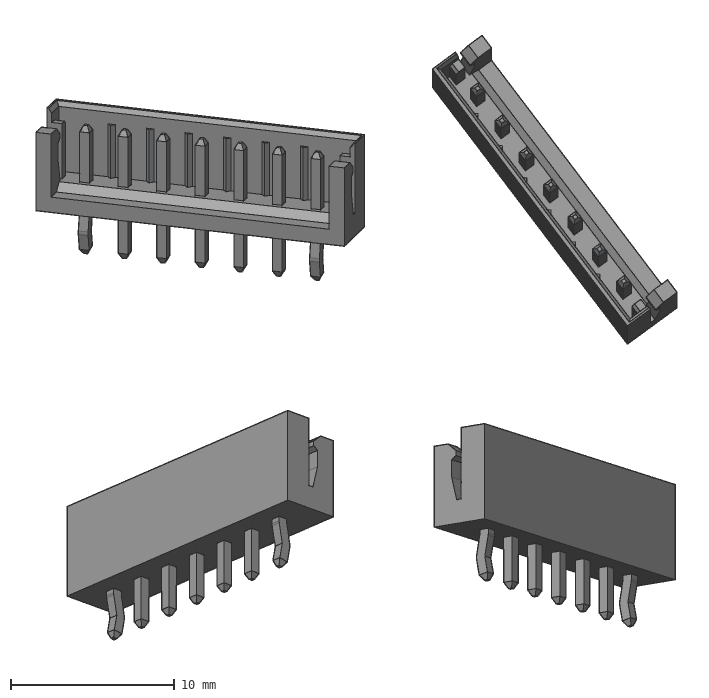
import cadquery as cq
import math


length = 20.0
depth = 3.8
height = 6.0

floor_z = 1.5
front_wall_z = 1.0
slope_start_depth = 2.28
slope_end_depth = 2.8

back_wall = 0.45
side_wall = 0.32
side_wall_depth = 1.75
rim_chamfer_width = 0.2
rim_chamfer_height = 0.3

post_width = 0.98
post_top_z = 5.1
post_depth = 2.48
post_foot_depth = 2.1
post_straight_z = 2.95
hook_depth = 2.15
hook_top_z = 4.6
hook_bottom_z = 4.28
hook_under_z = 4.05
post_top_depth = 2.75

corner_rib_depth = 0.68
corner_rib_chamfer = 0.2

wall_rib_width = 0.48
wall_rib_height = 0.25
wall_rib_top_z = 4.95

pin_count = 7
pitch = 2.5
pin_width = 0.65
pin_depth = 1.6
pin_shoulder_z = 4.75
pin_top_z = 5.15
pin_tip_width = 0.25
leg_shoulder_z = -2.85
leg_tip_z = -3.22

kink_start_z = -0.3
kink_angle = math.radians(11.2)
kink_upper_length = 1.32
kink_lower_length = 1.05
kink_tip_length = 0.38

pin_xs = [(i - (pin_count - 1) / 2) * pitch for i in range(pin_count)]


def box(x0, x1, y0, y1, z0, z1):
    """Box between two opposite corners."""
    return cq.Workplane("XY").box(x1 - x0, y1 - y0, z1 - z0, centered=False).translate((x0, y0, z0))


def extrude_along_x(profile, x0, x1):
    """Extrude a closed YZ profile from x0 to x1."""
    return profile.extrude(x1 - x0).translate((x0, 0, 0))


def mirrored_pair(solid):
    """The solid together with its mirror image at the other end of the housing."""
    return solid.union(solid.mirror("YZ"))



def make_floor():
    """Floor that slopes down to the low front wall."""
    profile = cq.Workplane("YZ").polyline([
        (0, 0),
        (0, floor_z),
        (-slope_start_depth, floor_z),
        (-slope_end_depth, front_wall_z),
        (-depth, front_wall_z),
        (-depth, 0),
    ]).close()
    return extrude_along_x(profile, -length / 2, length / 2)


def make_walls():
    """Back wall and two side walls, with the inner rim chamfered."""
    walls = box(-length / 2, length / 2, -side_wall_depth, 0, 0, height)
    inner_length = length - 2 * side_wall
    inner_x = inner_length / 2
    cavity = box(-inner_x, inner_x, -depth, -back_wall, 0, height)

    flare_centre = -(depth + back_wall) / 2
    flare_depth = depth - back_wall
    flare = (
        cq.Workplane("XY", origin=(0, flare_centre, height - rim_chamfer_height))
        .rect(inner_length, flare_depth)
        .workplane(offset=rim_chamfer_height)
        .rect(inner_length + 2 * rim_chamfer_width, flare_depth + 2 * rim_chamfer_width)
        .loft(ruled=True)
    )
    return walls.cut(cavity).cut(flare)


def make_latch_posts():
    """Front corner posts with a hook that leans over the side slot."""
    profile = cq.Workplane("YZ").polyline([
        (-depth, 0),
        (-post_foot_depth, 0),
        (-post_foot_depth, floor_z),
        (-post_depth, post_straight_z),
        (-post_depth, hook_under_z),
        (-hook_depth, hook_bottom_z),
        (-hook_depth, hook_top_z),
        (-post_top_depth, post_top_z),
        (-depth, post_top_z),
    ]).close()
    return mirrored_pair(extrude_along_x(profile, -length / 2, -length / 2 + post_width))


def make_corner_ribs():
    """Ribs in line with the posts, chamfered at the top of their back side."""
    back_y = corner_rib_depth - side_wall_depth
    profile = cq.Workplane("YZ").polyline([
        (-side_wall_depth, 0),
        (back_y, 0),
        (back_y, post_top_z - corner_rib_chamfer),
        (back_y - corner_rib_chamfer, post_top_z),
        (-side_wall_depth, post_top_z),
    ]).close()
    return mirrored_pair(extrude_along_x(profile, -length / 2, -length / 2 + post_width))


def make_wall_rib(x):
    """Triangular rib standing on the back wall."""
    return (
        cq.Workplane("XY", origin=(x, -back_wall, 0))
        .polyline([(-wall_rib_width / 2, 0), (wall_rib_width / 2, 0), (0, -wall_rib_height)])
        .close()
        .extrude(wall_rib_top_z)
    )


def make_pin_hole(x):
    """Square hole through the floor, filled by a pin."""
    half = pin_width / 2
    return box(x - half, x + half, -pin_depth - half, -pin_depth + half, 0, floor_z)


def make_housing():
    housing = make_floor().union(make_walls()).union(make_latch_posts()).union(make_corner_ribs())
    for x in pin_xs[:-1]:
        housing = housing.union(make_wall_rib(x + pitch / 2))
    for x in pin_xs:
        housing = housing.cut(make_pin_hole(x))
    return housing



def make_tip(y, z, normal, tip_length):
    """Square taper that starts at (y, z) and runs along normal."""
    plane = cq.Plane(origin=(0, y, z), xDir=(1, 0, 0), normal=normal)
    return (
        cq.Workplane(plane)
        .rect(pin_width, pin_width)
        .workplane(offset=tip_length)
        .rect(pin_tip_width, pin_tip_width)
        .loft(ruled=True)
    )


def make_shank(bottom_z):
    """Straight part of a pin, from bottom_z up to and including its top taper."""
    half = pin_width / 2
    shank = box(-half, half, -pin_depth - half, -pin_depth + half, bottom_z, pin_shoulder_z)
    return shank.union(make_tip(-pin_depth, pin_shoulder_z, (0, 0, 1), pin_top_z - pin_shoulder_z))


def make_straight_pin():
    tip = make_tip(-pin_depth, leg_shoulder_z, (0, 0, -1), leg_shoulder_z - leg_tip_z)
    return make_shank(leg_shoulder_z).union(tip)


def make_kinked_pin():
    """Pin whose leg bends forward and then back, at constant thickness."""
    sin_a = math.sin(kink_angle)
    cos_a = math.cos(kink_angle)
    half_sin = math.sin(kink_angle / 2)
    half_cos = math.cos(kink_angle / 2)

    front_y = -pin_depth - pin_width / 2
    back_y = -pin_depth + pin_width / 2
    upper_mid = (front_y + pin_width * half_cos, kink_start_z - pin_width * half_sin)
    upper_end = (front_y + pin_width * cos_a, kink_start_z - pin_width * sin_a)

    elbow_y = upper_end[0] - kink_upper_length * sin_a
    elbow_z = upper_end[1] - kink_upper_length * cos_a
    elbow_start = (elbow_y - pin_width * cos_a, elbow_z + pin_width * sin_a)
    elbow_mid = (elbow_y - pin_width, elbow_z)
    elbow_end = (elbow_y - pin_width * cos_a, elbow_z - pin_width * sin_a)

    run_y = kink_lower_length * sin_a
    run_z = -kink_lower_length * cos_a
    end_back = (elbow_y + run_y, elbow_z + run_z)
    end_front = (elbow_end[0] + run_y, elbow_end[1] + run_z)

    profile = (
        cq.Workplane("YZ")
        .moveTo(back_y, kink_start_z)
        .threePointArc(upper_mid, upper_end)
        .lineTo(elbow_y, elbow_z)
        .lineTo(*end_back)
        .lineTo(*end_front)
        .lineTo(*elbow_end)
        .threePointArc(elbow_mid, elbow_start)
        .lineTo(front_y, kink_start_z)
        .close()
    )
    leg = extrude_along_x(profile, -pin_width / 2, pin_width / 2)
    end_y = (end_back[0] + end_front[0]) / 2
    end_z = (end_back[1] + end_front[1]) / 2
    tip = make_tip(end_y, end_z, (0, sin_a, -cos_a), kink_tip_length)
    return make_shank(kink_start_z).union(leg).union(tip)


housing = make_housing()
straight_pins = [make_straight_pin().translate((x, 0, 0)).val() for x in pin_xs[1:-1]]
kinked_pins = [make_kinked_pin().translate((x, 0, 0)).val() for x in (pin_xs[0], pin_xs[-1])]

result = cq.Compound.makeCompound([housing.val(), *straight_pins, *kinked_pins])